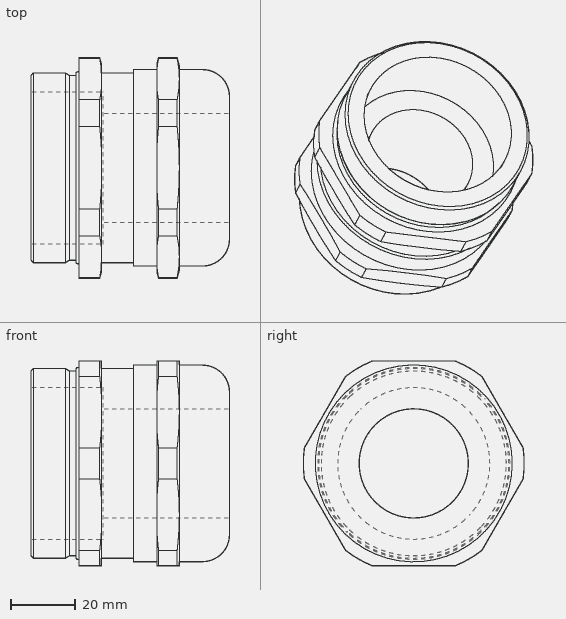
import cadquery as cq
import math

LENGTH = 62.0

THREAD_RADIUS = 59.3 / 2
THREAD_CHAMFER = 0.8
THREAD_TAPER_START = 10.75
GROOVE_RADIUS = 57.8 / 2
GROOVE_START = 12.0

COLLAR_RADIUS = 30.0
COLLAR_WIDTH = 1.0
COLLAR_ROUND = 0.7

HEX_SIDES = 6
ACROSS_FLATS = 64.0
CORNER_RADIUS = 69.0 / 2
HEX_WIDTH = 7.0
BODY_HEX_START = 15.0
CAP_HEX_START = 39.3
CHAMFER_ANGLE = 15.0
CHAMFER_FACE_RADIUS = 32.5
CAP_HEX_OUTER_FACE_RADIUS = ACROSS_FLATS / 2

CAP_RADIUS = 61.44 / 2
CAP_START = 32.0
DOME_ROUND = 8.5

BORE_RADIUS = 47.44 / 2
BORE_DEPTH = 22.5
CABLE_HOLE_RADIUS = 34.0 / 2


def cylinder(radius, start, end):
    """Cylinder around the X axis from start to end."""
    return cq.Workplane("YZ").workplane(offset=start).circle(radius).extrude(end - start)


def revolve_about_x(profile):
    """Revolve an XY profile, whose Y is the radius, a full turn around X."""
    return profile.revolve(360, (0, 0, 0), (1, 0, 0))


def threaded_end():
    """Plain thread cylinder with a lead-in chamfer and a taper down to the groove."""
    profile = (
        cq.Workplane("XY")
        .lineTo(0, THREAD_RADIUS - THREAD_CHAMFER)
        .lineTo(THREAD_CHAMFER, THREAD_RADIUS)
        .lineTo(THREAD_TAPER_START, THREAD_RADIUS)
        .lineTo(GROOVE_START, GROOVE_RADIUS)
        .lineTo(BODY_HEX_START, GROOVE_RADIUS)
        .lineTo(BODY_HEX_START, 0)
        .close()
    )
    return revolve_about_x(profile)


def sealing_collar():
    """Thin collar against the body hexagon, its front rim rounded."""
    collar = cylinder(COLLAR_RADIUS, BODY_HEX_START - COLLAR_WIDTH, BODY_HEX_START)
    return collar.edges("<X").fillet(COLLAR_ROUND)


def hexagon(start, front_face_radius, back_face_radius):
    """Hexagon with turned corners; each end is chamfered down to its face radius."""
    end = start + HEX_WIDTH
    slope = math.tan(math.radians(CHAMFER_ANGLE))
    front_chamfer = (CORNER_RADIUS - front_face_radius) * slope
    back_chamfer = (CORNER_RADIUS - back_face_radius) * slope

    across_corners = ACROSS_FLATS / math.cos(math.pi / HEX_SIDES)
    prism = cq.Workplane("YZ").workplane(offset=start).polygon(HEX_SIDES, across_corners).extrude(HEX_WIDTH)

    envelope = cq.Workplane("XY").moveTo(start, 0).lineTo(start, front_face_radius)
    if front_chamfer > 0:
        envelope = envelope.lineTo(start + front_chamfer, CORNER_RADIUS)
    envelope = (
        envelope.lineTo(end - back_chamfer, CORNER_RADIUS)
        .lineTo(end, back_face_radius)
        .lineTo(end, 0)
        .close()
    )
    return prism.intersect(revolve_about_x(envelope))


def domed_cap():
    """Cap cylinder with a large round at its outer end."""
    return cylinder(CAP_RADIUS, CAP_START, LENGTH).edges(">X").fillet(DOME_ROUND)


def stepped_bore():
    """Wide bore from the threaded end, continued through the cap by the cable hole."""
    return cylinder(BORE_RADIUS, 0, BORE_DEPTH).union(cylinder(CABLE_HOLE_RADIUS, 0, LENGTH))


body_barrel = cylinder(THREAD_RADIUS, BODY_HEX_START, CAP_START)
body_hex = hexagon(BODY_HEX_START, CORNER_RADIUS, CHAMFER_FACE_RADIUS)
cap_hex = hexagon(CAP_HEX_START, CHAMFER_FACE_RADIUS, CAP_HEX_OUTER_FACE_RADIUS)

result = (
    threaded_end()
    .union(sealing_collar())
    .union(body_barrel)
    .union(body_hex)
    .union(domed_cap())
    .union(cap_hex)
    .cut(stepped_bore())
)